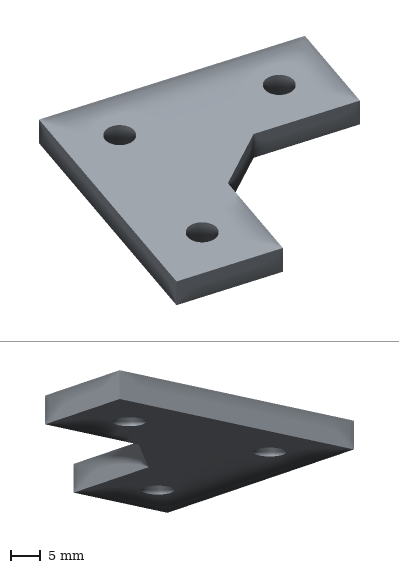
import cadquery as cq

side_length = 50.0
arm_width = 20.0
thickness = 5.0
gusset_leg = 10.0
hole_diameter = 5.5

near_hole = arm_width / 2
far_hole = side_length - arm_width / 2
hole_centres = [(near_hole, near_hole), (far_hole, near_hole), (near_hole, far_hole)]

outline = [
    (0, 0),
    (side_length, 0),
    (side_length, arm_width),
    (arm_width + gusset_leg, arm_width),
    (arm_width, arm_width + gusset_leg),
    (arm_width, side_length),
    (0, side_length),
]
plate = cq.Workplane("XY").polyline(outline).close().extrude(thickness)

holes = cq.Workplane("XY").pushPoints(hole_centres).circle(hole_diameter / 2).extrude(thickness)

result = plate.cut(holes)